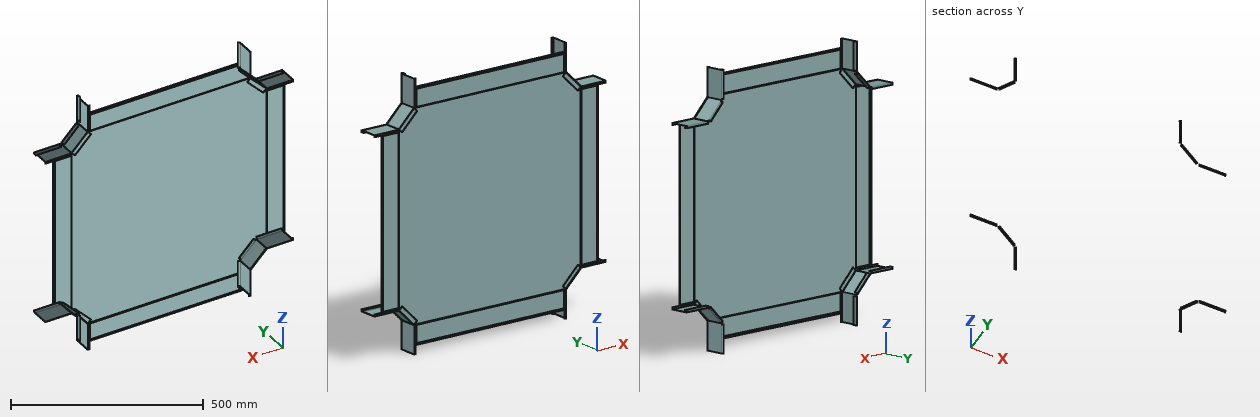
import cadquery as cq
import math

outer_size = 753.97
side_height = 57.0
sheet = 1.0

leg_length = 80.0
rail_end = outer_size / 2
bend_place = rail_end - leg_length
wall_place = 248
diagonal_length = (bend_place - wall_place) * math.sqrt(2)

hem_wall_radius = 4.0
hem_lip_radius = 2.2
hem_width = hem_wall_radius + hem_lip_radius
lip_drop = 10.0
leg_flange_width = 6
diagonal_flange_width = 14.5
hem_relief = 3.0

arm_half_width = 240.0
arm_end = 353.2
joggle_run = 2.2
joggle_start = bend_place - joggle_run / 2
end_tab_length = 3.5
end_tab_lift = 2.0


def rail_wall():
    """Upright wall of constant thickness that follows leg, diagonal and leg."""
    mitre = sheet * math.tan(math.radians(22.5))
    inner_place = wall_place - sheet
    inner_bend = bend_place - mitre
    outline = [
        (wall_place, rail_end),
        (wall_place, bend_place),
        (bend_place, wall_place),
        (rail_end, wall_place),
        (rail_end, inner_place),
        (inner_bend, inner_place),
        (inner_place, inner_bend),
        (inner_place, rail_end),
    ]
    return cq.Workplane("XZ").polyline(outline).close().extrude(hem_wall_radius - side_height)


def rail_edges(start, direction, length, flange_width, hem_from, hem_to):
    """Flange along the bottom and rounded hem along the top of one straight stretch of wall.

    The section is drawn with its x axis pointing into the tray and its y axis along +Y.
    The flange has the full length and the hem reaches from hem_from to hem_to.
    """
    along_x, along_z = direction
    plane = cq.Plane(
        origin=(start[0], 0, start[1]),
        xDir=(along_z, 0, -along_x),
        normal=(along_x, 0, along_z),
    )
    section = cq.Workplane(plane)
    flange = section.rect(flange_width, sheet, centered=False).extrude(length)

    slant = math.sqrt(0.5)
    wall_top = side_height - hem_wall_radius
    lip_top = side_height - hem_lip_radius
    lip_bottom = side_height - lip_drop
    inner_top = side_height - sheet
    wall_inner_radius = hem_wall_radius - sheet
    lip_inner_radius = hem_lip_radius - sheet
    hem_peak = (hem_wall_radius, side_height)
    inner_peak = (hem_wall_radius, inner_top)

    def wall_bend(radius):
        return (hem_wall_radius - radius * slant, wall_top + radius * slant)

    def lip_bend(radius):
        return (hem_wall_radius + radius * slant, lip_top + radius * slant)

    hem = (
        section.workplane(offset=hem_from)
        .moveTo(0, wall_top)
        .threePointArc(wall_bend(hem_wall_radius), hem_peak)
        .threePointArc(lip_bend(hem_lip_radius), (hem_width, lip_top))
        .lineTo(hem_width, lip_bottom)
        .lineTo(hem_width - sheet, lip_bottom)
        .lineTo(hem_width - sheet, lip_top)
        .threePointArc(lip_bend(lip_inner_radius), inner_peak)
        .threePointArc(wall_bend(wall_inner_radius), (sheet, wall_top))
        .close()
        .extrude(hem_to - hem_from)
    )
    return flange.union(hem)


def corner_rail():
    """Rail of the +X +Z corner; the hems stop short of the two wall bends."""
    slant = math.sqrt(0.5)
    upright_leg = rail_edges(
        (wall_place, rail_end), (0, -1), leg_length, leg_flange_width, 0, leg_length - hem_relief
    )
    diagonal = rail_edges(
        (wall_place, bend_place),
        (slant, -slant),
        diagonal_length,
        diagonal_flange_width,
        hem_relief,
        diagonal_length - hem_relief,
    )
    level_leg = rail_edges(
        (bend_place, wall_place), (1, 0), leg_length, leg_flange_width, hem_relief, leg_length
    )
    return rail_wall().union(upright_leg).union(diagonal).union(level_leg)


def plate_arm():
    """Arm on the +X side: steps down to the bottom plane, then steps up again at its end tab."""
    lower_line = [
        (joggle_start, sheet),
        (joggle_start + joggle_run, 0),
        (arm_end - end_tab_length - joggle_run, 0),
        (arm_end - end_tab_length, end_tab_lift),
        (arm_end, end_tab_lift),
    ]
    upper_line = [(x, y + sheet) for x, y in reversed(lower_line)]
    return (
        cq.Workplane("XY")
        .polyline(lower_line + upper_line)
        .close()
        .extrude(arm_half_width, both=True)
    )


def floor_plate():
    """Square centre with corners cut along the diagonal walls, and an arm on each side."""
    diagonal_sum = bend_place + wall_place - sheet * math.sqrt(2)
    corner_cut = 2 * joggle_start - diagonal_sum
    plate = (
        cq.Workplane("XZ", origin=(0, sheet, 0))
        .rect(2 * joggle_start, 2 * joggle_start)
        .extrude(-sheet)
        .edges("|Y")
        .chamfer(corner_cut)
    )
    for quarter in range(4):
        plate = plate.union(plate_arm().rotate((0, 0, 0), (0, 1, 0), 90 * quarter))
    return plate


plate = floor_plate()
rails = [corner_rail().rotate((0, 0, 0), (0, 1, 0), 90 * quarter) for quarter in range(4)]

result = cq.Compound.makeCompound([plate.val(), *[rail.val() for rail in rails]])